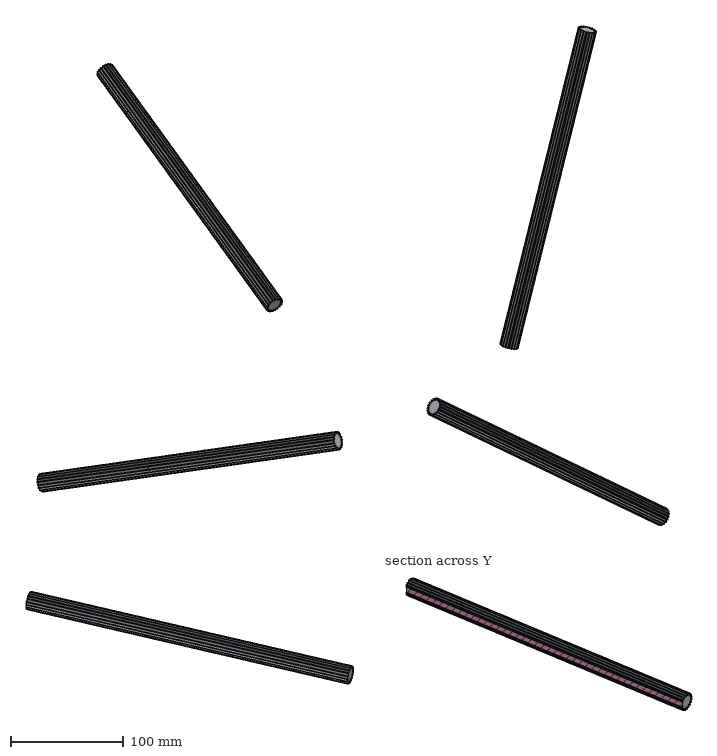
import cadquery as cq
import math

INCH = 25.4

rod_length = 12 * INCH
tooth_count = 19
diametral_pitch = 32
pressure_angle = math.radians(21)
dedendum_factor = 1.25
tooth_thinning = 0.03
root_fillet = 0.15
flank_points = 5

module = INCH / diametral_pitch
pitch_radius = tooth_count * module / 2
tip_radius = pitch_radius + module
root_radius = pitch_radius - dedendum_factor * module
base_radius = pitch_radius * math.cos(pressure_angle)

tooth_step = 2 * math.pi / tooth_count
pitch_half_angle = (math.pi * module / 2 - tooth_thinning) / (2 * pitch_radius)
first_tooth_angle = math.pi


def involute(angle):
    return math.tan(angle) - angle


def tooth_half_angle(radius):
    """Half the angle a tooth spans at a radius on or above the base circle."""
    flank_angle = math.acos(base_radius / radius)
    return pitch_half_angle + involute(pressure_angle) - involute(flank_angle)


def polar(radius, angle):
    return (radius * math.cos(angle), radius * math.sin(angle))


def flank(center_angle, side):
    """Points up one involute flank, base circle to tip; side is -1 or +1."""
    points = []
    for i in range(flank_points):
        radius = base_radius + (tip_radius - base_radius) * i / (flank_points - 1)
        points.append(polar(radius, center_angle + side * tooth_half_angle(radius)))
    return points


def gear_outline():
    """Closed gear outline in the YZ plane; flanks run radially below the base circle."""
    root_half_angle = tooth_half_angle(base_radius)
    outline = cq.Workplane("YZ").moveTo(*polar(root_radius, first_tooth_angle - root_half_angle))
    for i in range(tooth_count):
        center = first_tooth_angle + i * tooth_step
        rising = flank(center, -1)
        falling = flank(center, 1)[::-1]
        next_tooth_start = polar(root_radius, center + tooth_step - root_half_angle)
        outline = (
            outline.lineTo(*rising[0])
            .spline(rising[1:], includeCurrent=True)
            .threePointArc(polar(tip_radius, center), falling[0])
            .spline(falling[1:], includeCurrent=True)
            .lineTo(*polar(root_radius, center + root_half_angle))
            .threePointArc(polar(root_radius, center + tooth_step / 2), next_tooth_start)
        )
    return outline.close()


def root_corners(rod):
    """The lengthwise edges where the flanks meet the root circle."""
    on_root_tolerance = 0.01
    corners = []
    for edge in rod.edges("|X").vals():
        center = edge.Center()
        if abs(math.hypot(center.y, center.z) - root_radius) < on_root_tolerance:
            corners.append(edge)
    return corners


rod = gear_outline().extrude(rod_length)
result = rod.newObject(root_corners(rod)).fillet(root_fillet)